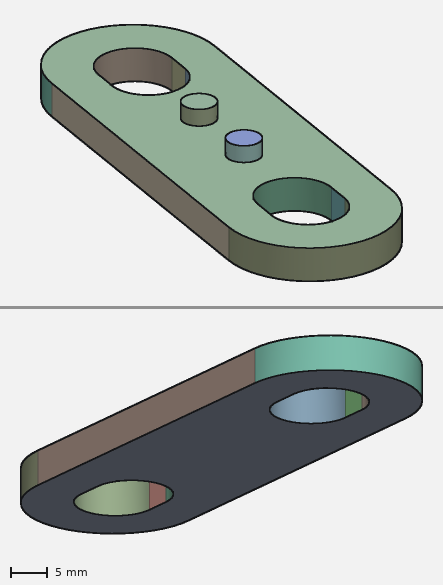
import cadquery as cq

plate_length = 76.0
plate_width = 25.0
overall_height = 7.5
plate_thickness = 5.0

slot_length = 15.1
slot_width = 11.25
slot_spacing = 46.0

pin_diameter = 5.0
pin_spacing = 12.9
pin_height = overall_height - plate_thickness


def pair_along_x(spacing):
    """Two points mirrored about the plate centre."""
    return [(-spacing / 2, 0), (spacing / 2, 0)]


plate = cq.Workplane("XY").slot2D(plate_length, plate_width).extrude(plate_thickness)

slots = (
    cq.Workplane("XY")
    .pushPoints(pair_along_x(slot_spacing))
    .slot2D(slot_length, slot_width)
    .extrude(plate_thickness)
)

pins = (
    cq.Workplane("XY", origin=(0, 0, plate_thickness))
    .pushPoints(pair_along_x(pin_spacing))
    .circle(pin_diameter / 2)
    .extrude(pin_height)
)

result = plate.cut(slots).union(pins)